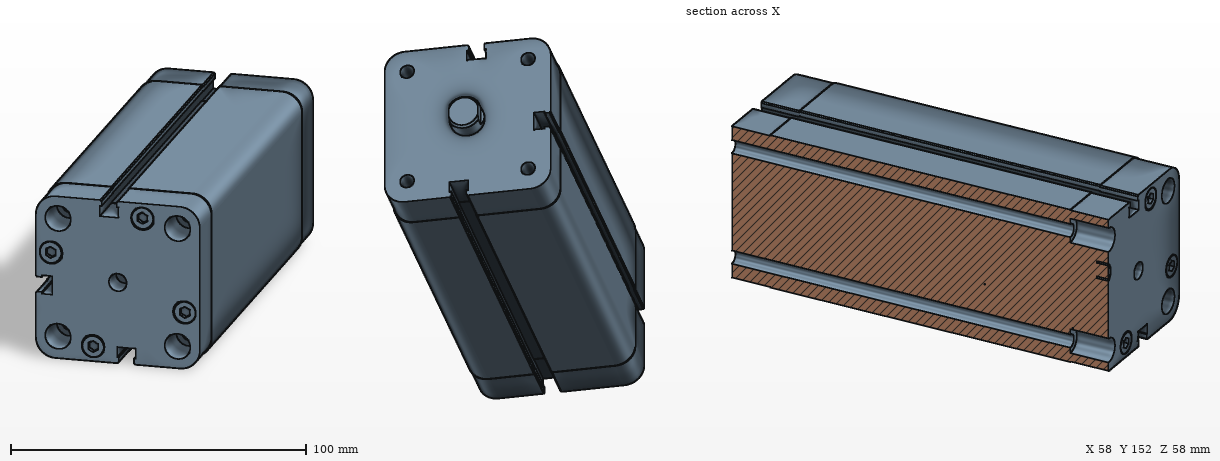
import cadquery as cq

total_length = 152.0
cap_length = 14.7
rod_projection = 6.5
tube_length = total_length - rod_projection - 2 * cap_length
body_length = tube_length + 2 * cap_length

tube_width = 58.0
cap_width = 57.6
corner_radius = 7.0

groove_offset = 3.0
groove_depth = 5.8
groove_width = 6.5
mouth_depth = 2.1
mouth_width = 5.3
mouth_chamfer = 0.5

mount_offset = 21.0
mount_hole_diameter = 4.9
mount_bore_diameter = 9.0
mount_bore_depth = cap_length

center_hole_diameter = 6.2
center_hole_depth = 9.1

screw_near_offset = 8.7
screw_far_offset = 23.4
screw_bore_diameter = 8.0
screw_head_diameter = 7.5
screw_head_shift = 0.2
head_far_offset = screw_far_offset + screw_head_shift
screw_bore_depth = 4.5
socket_across_flats = 3.5
socket_depth = 1.8

rod_diameter = 12.0
rod_tip_chamfer = 0.8
flat_spacing = 10.0
flat_length = 4.4
flat_runout = (rod_diameter - flat_spacing) / 2

GROOVE_TURNS = (0, -90, 180)
SCREW_TURNS = (0, 90, 180, 270)


def section_plane(y):
    """XZ work plane at position y whose extrusions run toward +Y."""
    return cq.Workplane(cq.Plane(origin=(0, y, 0), xDir=(-1, 0, 0), normal=(0, 1, 0)))


def turned(shape, angle):
    """Rotate a shape about the long axis of the cylinder."""
    return shape.rotate((0, 0, 0), (0, 1, 0), angle)


def rounded_block(y, width, length):
    return section_plane(y).rect(width, width).extrude(length).edges("|Y").fillet(corner_radius)


def cylinder(y, x, z, diameter, length):
    return section_plane(y).center(-x, z).circle(diameter / 2).extrude(length)


def make_groove(y, width, length):
    """Groove cutter for the top side of one section: a chamfered mouth over a wider channel."""
    top_z = width / 2
    lip_z = top_z - mouth_depth
    floor_z = top_z - groove_depth
    right_half = [
        (mouth_width / 2 + mouth_chamfer, top_z),
        (mouth_width / 2, top_z - mouth_chamfer),
        (mouth_width / 2, lip_z),
        (groove_width / 2, lip_z),
        (groove_width / 2, floor_z),
    ]
    left_half = [(-x, z) for x, z in reversed(right_half)]
    profile = section_plane(y).center(groove_offset, 0).polyline(right_half + left_half).close()
    return profile.extrude(length)


def make_section(y, width, length):
    """One grooved length of the body; its grooves are measured from its own sides."""
    section = rounded_block(y, width, length)
    groove = make_groove(y, width, length)
    for angle in GROOVE_TURNS:
        section = section.cut(turned(groove, angle))
    return section


def make_body():
    rear_cap = make_section(0, cap_width, cap_length)
    tube = make_section(cap_length, tube_width, tube_length)
    front_cap = make_section(cap_length + tube_length, cap_width, cap_length)
    return rear_cap.union(tube).union(front_cap)


def make_mounting_hole(x, z):
    """Through hole with a counterbore at the rear face."""
    hole = cylinder(0, x, z, mount_hole_diameter, body_length)
    return hole.union(cylinder(0, x, z, mount_bore_diameter, mount_bore_depth))


def make_screw_gap():
    """Thin clearance left between the top screw's head and its bore."""
    bore = cylinder(0, screw_near_offset, screw_far_offset, screw_bore_diameter, screw_bore_depth)
    return bore.cut(cylinder(0, screw_near_offset, head_far_offset, screw_head_diameter, screw_bore_depth))


def make_socket(x, z):
    """Hexagon socket with two corners pointing up and down."""
    return section_plane(0).center(-x, z).polygon(6, socket_across_flats, circumscribed=True).extrude(socket_depth)


def make_rod():
    radius = rod_diameter / 2
    tip_radius = radius - rod_tip_chamfer
    half_profile = (
        cq.Workplane("XY")
        .moveTo(0, body_length)
        .lineTo(radius, body_length)
        .lineTo(radius, total_length - rod_tip_chamfer)
        .lineTo(tip_radius, total_length)
        .lineTo(0, total_length)
        .close()
    )
    rod = half_profile.revolve(360, (0, 0, 0), (0, 1, 0))

    flat_x = flat_spacing / 2
    flat_start = total_length - flat_length
    flat_cut = (
        cq.Workplane("XY")
        .moveTo(flat_x, total_length)
        .lineTo(flat_x, flat_start)
        .lineTo(radius, flat_start - flat_runout)
        .lineTo(radius, total_length)
        .close()
        .extrude(radius, both=True)
    )
    return rod.cut(flat_cut).cut(flat_cut.mirror("YZ"))


result = make_body()


for side_x in (-1, 1):
    for side_z in (-1, 1):
        result = result.cut(make_mounting_hole(side_x * mount_offset, side_z * mount_offset))

result = result.cut(cylinder(0, 0, 0, center_hole_diameter, center_hole_depth))

screw_gap = make_screw_gap()
for angle in SCREW_TURNS:
    result = result.cut(turned(screw_gap, angle))

for side in (-1, 1):
    result = result.cut(make_socket(side * screw_near_offset, side * head_far_offset))
    result = result.cut(make_socket(side * head_far_offset, -side * screw_near_offset))

result = result.union(make_rod())